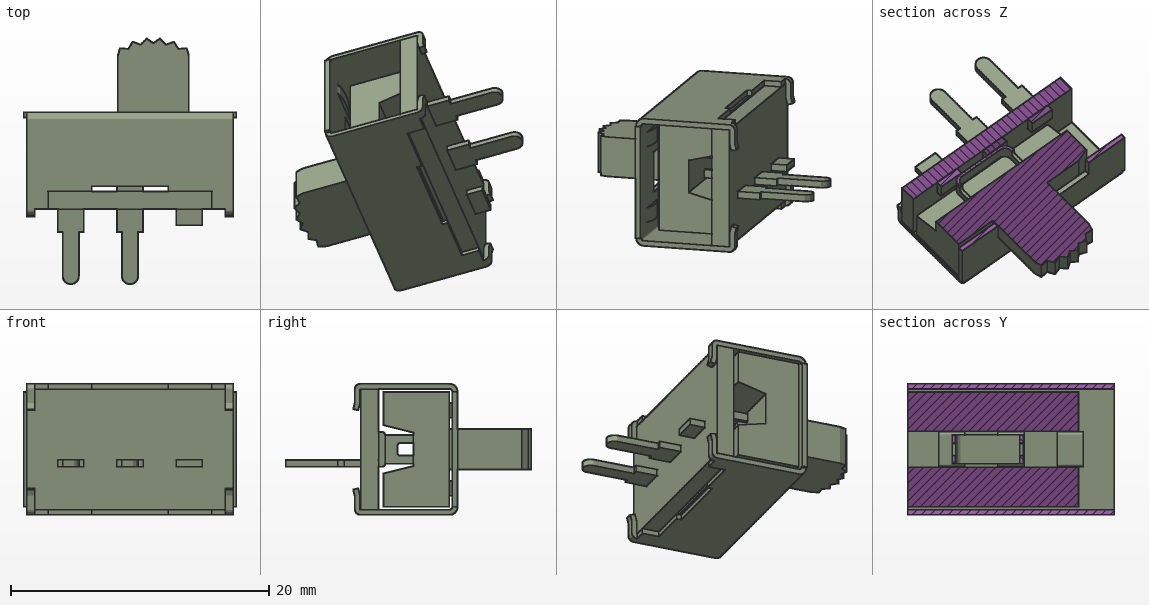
import cadquery as cq
import math


SHELL_LENGTH = 16.01
SHELL_HEIGHT = 10.15
SHELL_FRONT = 7.51
SHEET = 0.42
BEND_INNER_RADIUS = 0.2
BEND_OUTER_RADIUS = BEND_INNER_RADIUS + SHEET
EAR_SPAN = 16.45
CAVITY_HEIGHT = SHELL_HEIGHT - 2 * SHEET
FRONT_INNER = SHELL_FRONT - SHEET

WINDOW_LENGTH = 12.67
WINDOW_STEP_LENGTH = 5.92
WINDOW_STEP_TOP = 1.79

TAB_WIDTH = 0.65
TAB_GAP = 0.04
TAB_OUTER_RADIUS = TAB_GAP + SHEET
TAB_STRAIGHT_END = 3.65
TAB_KICK_ANGLE = 15
TAB_KICK_RADIUS = 0.44
TAB_KICK_LENGTH = 0.44

BUMP_CENTER_X = -4.98
BUMP_LENGTH = 2.74
BUMP_RISE = 0.25
BUMP_WIDTH = 1.16
BUMP_OFFSET_Z = 3.02

BASE_THICKNESS = 1.39

TERMINAL_PITCH = 4.58
TERMINAL_SHEET = 0.53
TERMINAL_WIDTH = 2.04
HEAD_HEIGHT = 2.7
HEAD_TOP = 1.9
HEAD_RADIUS = 0.23
PIN_WIDTH = 1.27
PIN_SHOULDER = -1.77
PIN_TIP = -5.8
STUB_END = -1.25

SLIDER_LEFT = -5.23
SLIDER_RIGHT = SHELL_LENGTH / 2
SLIDER_HEIGHT = 8.9
SLIDER_BACK = 1.77
SLIDER_FRONT = 6.87
RAMP_DROP = 0.4
RAMP_LENGTH = 1.15
NOTCH_TOP = 4.09
NOTCH_TOP_HEIGHT = 2.57
NOTCH_MOUTH_HEIGHT = 3.73

KNOB_CENTER_X = 1.8
KNOB_WIDTH = 5.52
KNOB_HEIGHT = 3.15
KNOB_SHOULDER = 11.89
GRIP_TEETH = [(2.59, 12.48), (1.94, 12.42), (1.6, 12.97), (0.97, 12.75), (0.51, 13.22)]
GRIP_MIDDLE = 12.85

CONTACT_LENGTH = KNOB_WIDTH
CONTACT_HEIGHT = 2.25
CONTACT_SHEET = 0.29
CONTACT_RADIUS = 0.85
CONTACT_SLOT_WIDTH = 0.95
CONTACT_SLOT_END = 2.87
CONTACT_SLOT_RADIUS = 0.17


def block(x_range, y_range, z_range):
    """Box between the given limits."""
    lows, highs = zip(x_range, y_range, z_range)
    sizes = [high - low for low, high in zip(lows, highs)]
    return cq.Workplane().box(*sizes, centered=False).translate(lows)


def centered(size, middle=0):
    """Limits of a length that is centred on a point."""
    return (middle - size / 2, middle + size / 2)


def tab_profile():
    """Side profile (Y, Z) of an upper crimp tab: a quarter bend, a straight leg and a kicked-out end."""
    kick = math.radians(TAB_KICK_ANGLE)
    wall_outer = SHELL_HEIGHT / 2
    wall_inner = wall_outer - SHEET
    bend_z = wall_inner - TAB_GAP
    kick_y = -TAB_OUTER_RADIUS - TAB_KICK_RADIUS

    def bend_point(radius, angle):
        return (-radius * math.sin(angle), bend_z + radius * math.cos(angle))

    def kick_point(radius, angle, along=0):
        return (
            kick_y + radius * math.cos(angle) - along * math.sin(kick),
            TAB_STRAIGHT_END - radius * math.sin(angle) - along * math.cos(kick),
        )

    outer_kick = TAB_KICK_RADIUS
    inner_kick = TAB_KICK_RADIUS + SHEET
    return (
        cq.Workplane("YZ")
        .moveTo(0, wall_outer)
        .threePointArc(bend_point(TAB_OUTER_RADIUS, math.pi / 4), (-TAB_OUTER_RADIUS, bend_z))
        .lineTo(-TAB_OUTER_RADIUS, TAB_STRAIGHT_END)
        .threePointArc(kick_point(outer_kick, kick / 2), kick_point(outer_kick, kick))
        .lineTo(*kick_point(outer_kick, kick, TAB_KICK_LENGTH))
        .lineTo(*kick_point(inner_kick, kick, TAB_KICK_LENGTH))
        .lineTo(*kick_point(inner_kick, kick))
        .threePointArc(kick_point(inner_kick, kick / 2), (-TAB_GAP, TAB_STRAIGHT_END))
        .lineTo(-TAB_GAP, bend_z)
        .threePointArc(bend_point(TAB_GAP, math.pi / 4), (0, wall_inner))
        .close()
    )


def make_tabs():
    """The four crimp tabs, one at each corner of the shell."""
    upper = tab_profile().extrude(TAB_WIDTH).translate((-SHELL_LENGTH / 2, 0, 0))
    upper = upper.union(upper.mirror("YZ"))
    return upper.union(upper.mirror("XY"))


def make_bumps():
    """The two shallow arched detent bumps."""
    bump = (
        cq.Workplane("XY")
        .moveTo(BUMP_CENTER_X - BUMP_LENGTH / 2, FRONT_INNER)
        .threePointArc(
            (BUMP_CENTER_X, FRONT_INNER - BUMP_RISE),
            (BUMP_CENTER_X + BUMP_LENGTH / 2, FRONT_INNER),
        )
        .close()
        .extrude(BUMP_WIDTH / 2, both=True)
        .translate((0, 0, BUMP_OFFSET_Z))
    )
    return bump.union(bump.mirror("XY"))


def make_shell():
    """Bent sheet metal channel with ears, windows, tabs, detent bumps and a slot for the knob."""
    along = centered(SHELL_LENGTH)
    outer = block(along, (0, SHELL_FRONT), centered(SHELL_HEIGHT))
    outer = outer.edges("|X and >Y").fillet(BEND_OUTER_RADIUS)
    cavity = block(along, (0, FRONT_INNER), centered(CAVITY_HEIGHT))
    cavity = cavity.edges("|X and >Y").fillet(BEND_INNER_RADIUS)
    ears = block(
        centered(EAR_SPAN),
        (FRONT_INNER, SHELL_FRONT),
        centered(SHELL_HEIGHT - 2 * BEND_OUTER_RADIUS),
    )
    shell = outer.cut(cavity).union(ears)

    window = block(centered(WINDOW_LENGTH), (0, BASE_THICKNESS), centered(SHELL_HEIGHT))
    window_step = block(centered(WINDOW_STEP_LENGTH), (0, WINDOW_STEP_TOP), centered(SHELL_HEIGHT))
    shell = shell.cut(window).cut(window_step)

    slot_length = 2 * KNOB_CENTER_X + KNOB_WIDTH
    knob_slot = block(centered(slot_length), (FRONT_INNER, SHELL_FRONT), centered(KNOB_HEIGHT))
    return shell.cut(knob_slot).union(make_tabs()).union(make_bumps())


def terminal_strip(x, end):
    """Terminal leg that runs from the head through the base to the given Y."""
    bottom = -HEAD_HEIGHT / 2
    return block(centered(TERMINAL_WIDTH, x), (end, HEAD_TOP), (bottom, bottom + TERMINAL_SHEET))


def make_pin(x):
    """Flat solder pin with a fully rounded tip."""
    half = PIN_WIDTH / 2
    pin = (
        cq.Workplane("XY")
        .moveTo(x - half, PIN_SHOULDER)
        .lineTo(x - half, PIN_TIP + half)
        .threePointArc((x, PIN_TIP), (x + half, PIN_TIP + half))
        .lineTo(x + half, PIN_SHOULDER)
        .close()
        .extrude(TERMINAL_SHEET)
    )
    return pin.translate((0, 0, -HEAD_HEIGHT / 2))


def make_terminal(x, has_pin):
    """L-shaped terminal: a head on the base and a leg through it, with a solder pin or cut short."""
    head = block(centered(TERMINAL_WIDTH, x), (BASE_THICKNESS, HEAD_TOP), centered(HEAD_HEIGHT))
    leg = terminal_strip(x, PIN_SHOULDER if has_pin else STUB_END)
    terminal = head.union(leg).edges("|X and >Y").fillet(HEAD_RADIUS)
    if has_pin:
        terminal = terminal.union(make_pin(x))
    return terminal


def make_base():
    """Flat base plate with a slot for each terminal leg."""
    base = block(centered(SHELL_LENGTH), (0, BASE_THICKNESS), centered(CAVITY_HEIGHT))
    for index in (-1, 0, 1):
        base = base.cut(terminal_strip(index * TERMINAL_PITCH, PIN_SHOULDER))
    return base


def make_knob():
    """Knob with a toothed grip, reaching down to the slider body."""
    half = KNOB_WIDTH / 2
    right = [(half, SLIDER_FRONT), (half, KNOB_SHOULDER)] + GRIP_TEETH
    left = [(-x, y) for x, y in reversed(right)]
    outline = right + [(0, GRIP_MIDDLE)] + left
    knob = cq.Workplane("XY").polyline(outline).close().extrude(KNOB_HEIGHT / 2, both=True)
    return knob.translate((KNOB_CENTER_X, 0, 0))


def make_slider():
    """Slider body with a detent ramp at its left end, a tapered notch along X and the knob."""
    body = (
        cq.Workplane("XY")
        .moveTo(SLIDER_LEFT, SLIDER_BACK)
        .lineTo(SLIDER_RIGHT, SLIDER_BACK)
        .lineTo(SLIDER_RIGHT, SLIDER_FRONT)
        .lineTo(SLIDER_LEFT + RAMP_LENGTH, SLIDER_FRONT)
        .lineTo(SLIDER_LEFT, SLIDER_FRONT - RAMP_DROP)
        .close()
        .extrude(SLIDER_HEIGHT / 2, both=True)
    )
    notch = (
        cq.Workplane("YZ")
        .moveTo(SLIDER_BACK, -NOTCH_MOUTH_HEIGHT / 2)
        .lineTo(NOTCH_TOP, -NOTCH_TOP_HEIGHT / 2)
        .lineTo(NOTCH_TOP, NOTCH_TOP_HEIGHT / 2)
        .lineTo(SLIDER_BACK, NOTCH_MOUTH_HEIGHT / 2)
        .close()
        .extrude(SHELL_LENGTH, both=True)
    )
    return body.cut(notch).union(make_knob())


def make_contact():
    """U-shaped moving contact with slotted legs, resting on the terminal heads."""
    outer_x = centered(CONTACT_LENGTH, KNOB_CENTER_X)
    inner_x = centered(CONTACT_LENGTH - 2 * CONTACT_SHEET, KNOB_CENTER_X)
    outer = block(outer_x, (HEAD_TOP, NOTCH_TOP), centered(CONTACT_HEIGHT))
    outer = outer.edges("|Z and <Y").fillet(CONTACT_RADIUS)
    inner = block(inner_x, (HEAD_TOP + CONTACT_SHEET, NOTCH_TOP), centered(CONTACT_HEIGHT))
    inner = inner.edges("|Z and <Y").fillet(CONTACT_RADIUS - CONTACT_SHEET)
    slot = block(outer_x, (CONTACT_SLOT_END, NOTCH_TOP), centered(CONTACT_SLOT_WIDTH))
    slot = slot.edges("|X and <Y").fillet(CONTACT_SLOT_RADIUS)
    return outer.cut(inner).cut(slot)


shell = make_shell()
base = make_base()
slider = make_slider()
contact = make_contact()
terminals = [make_terminal(index * TERMINAL_PITCH, index < 1) for index in (-1, 0, 1)]

result = cq.Compound.makeCompound(
    [shell.val(), base.val(), slider.val(), contact.val()]
    + [terminal.val() for terminal in terminals]
)